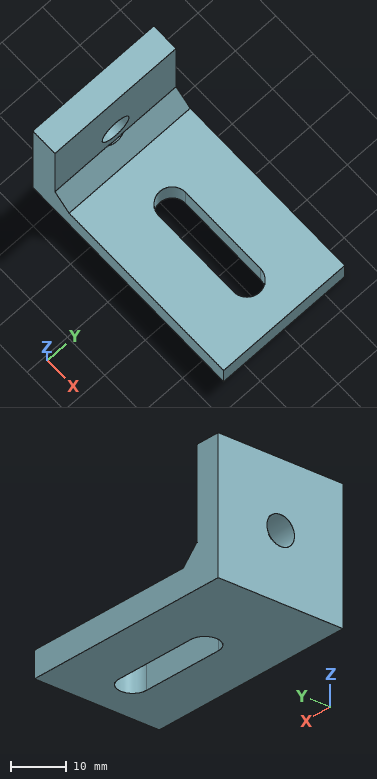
import cadquery as cq

length = 51.2
width = 30.0
height = 30.0

thickness = 6.0
corner_leg = 3.8

hole_diameter = 6.6
seat_diameter = 11.15
slot_start = 17.85
slot_end = 44.5


def make_bracket():
    """L-shaped section with a sloped inner corner, extruded across the width."""
    section = (
        cq.Workplane("XZ")
        .moveTo(0, 0)
        .lineTo(length, 0)
        .lineTo(length, thickness)
        .lineTo(thickness + corner_leg, thickness)
        .lineTo(thickness, thickness + corner_leg)
        .lineTo(thickness, height)
        .lineTo(0, height)
        .close()
    )
    return section.extrude(width / 2, both=True)


def make_wall_hole():
    """Round hole along X through the middle of the upright wall."""
    return (
        cq.Workplane("YZ")
        .center(0, height / 2)
        .circle(hole_diameter / 2)
        .extrude(thickness)
    )


def make_seat_relief():
    """Round clearance around the wall hole, flush with the wall, that trims the sloped corner."""
    return (
        cq.Workplane("YZ", origin=(thickness, 0, height / 2))
        .circle(seat_diameter / 2)
        .extrude(corner_leg)
    )


def make_base_slot():
    """Round-ended slot along X, as wide as the wall hole, through the base."""
    return (
        cq.Workplane("XY")
        .center((slot_start + slot_end) / 2, 0)
        .slot2D(slot_end - slot_start, hole_diameter)
        .extrude(thickness)
    )


result = (
    make_bracket()
    .cut(make_wall_hole())
    .cut(make_seat_relief())
    .cut(make_base_slot())
)